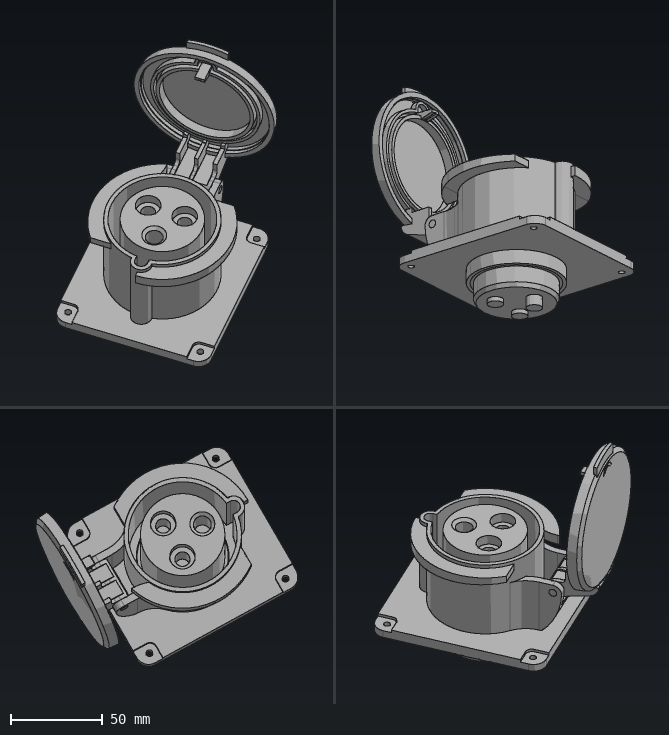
import cadquery as cq
import math


TINY = 0.2

PLATE_X = 90.0
PLATE_Y = 99.9
PLATE_T = 6.3
PLATE_CORNER_R = 7.5
SCREW_X = 38.7
SCREW_Y = 42.5
SCREW_R = 1.8
PAD_X = 11.5
PAD_Y = 12.3
PAD_CORNER_R = 3.8
PAD_DEPTH = 1.7

WALL = 2.4
BARREL_R = 32.0
BORE_R = BARREL_R - WALL
RIM_Z = 53.2
FLOOR_Z = 2.4
KEY_Y = -31.9
KEY_R = 6.0
KEY_SLOT_R = KEY_R - WALL
COLLAR_R = 27.4
COLLAR_DEPTH = 8.1
SEAT_R = 25.3

LEDGE_R = 40.8
LEDGE_TOP = 51.0
LEDGE_THICK = 6.2
LEDGE_THIN = 4.2
LEDGE_END_Y = 24.7

PIN_Y = 45.5
PIN_Z = 33.8
PIN_R = 2.3
KNUCKLE_R = 5.1
KNUCKLE_TOP = PIN_Z + KNUCKLE_R
ARM_HALF = 12.2
EAR_T = 4.0
EAR_HALF = ARM_HALF + EAR_T
FLARE_Y = 37.5
FOOT_Y = 39.0
BELLY_Y = 48.1
BELLY_Z = 20.6
BACK_WALL_TOP = 24.0

INSERT_R = 23.0
FLANGE_CHAMFER = 0.5
TAIL_R = 23.5
TAIL_BOTTOM = -20.0
TAIL_CHAMFER_R = 1.4
TAIL_CHAMFER_Z = 2.5
CONTACT_CIRCLE_R = 12.3
STUB_R = 4.5
LINE_STUB_BOTTOM = -22.5
EARTH_STUB_BOTTOM = -26.2
LINE_ENTRY_R = 6.9
LINE_ENTRY_DEPTH = 5.9
LINE_HOLE_R = 4.0
EARTH_ENTRY_R = 6.8
EARTH_ENTRY_DEPTH = 1.7
EARTH_HOLE_R = 4.8
HOLE_DEPTH = 22.5
LINE_ANGLES = (30, 150)
EARTH_ANGLE = 270

LID_Z = 79.1
LID_R = 41.0
LID_BACK_R = 40.5
DOME_R = 37.9
CAVITY_R = 37.6
CAVITY_MOUTH_R = 38.0
CAVITY_MOUTH_DEPTH = 2.3
LID_FRONT = 63.0
LID_BAND_BACK = 68.7
DOME_EDGE = 70.7
DOME_APEX = 74.0
CAVITY_EDGE = 67.7
CAVITY_APEX = 71.3
OUTER_RIDGE_FRONT = 65.0
OUTER_RIDGE_R = 32.0
OUTER_RIDGE_BORE_R = 30.2
LID_KEY_OFFSET = 31.6
LID_KEY_R = 6.3
LID_KEY_BORE_R = 4.5
INNER_RIDGE_FRONT = 64.0
INNER_RIDGE_R = 28.6
INNER_RIDGE_BORE_R = 26.5
TAB_R = 45.1
TAB_FRONT = 67.8
TAB_BACK = 70.0
HOOK_HALF = 2.9
HOOK_TOP = 109.8
HOOK_ROOT_BOTTOM = 105.9
HOOK_TIP_BOTTOM = 107.8
HOOK_TIP = 56.4
HOOK_SLOT = 1.2
HOOK_SLOT_TOP = 108.3

ARM_TOP = 46.8
ARM_FRONT = 51.3
ARM_STEP_R = 2.7
ARM_WEB_TOP = 37.9
ARM_HEEL_Y = 65.9
ARM_HEEL_Z = 34.3
ARM_BACK_Y = 70.7
ARM_BACK_Z = 40.6
SIDE_RIB_T = 2.5
MID_RIB_T = 2.3


def cylinder(radius, z0, z1, x=0, y=0):
    return cq.Workplane("XY", origin=(x, y, z0)).circle(radius).extrude(z1 - z0)


def box(x0, x1, y0, y1, z0, z1):
    return cq.Workplane("XY").box(x1 - x0, y1 - y0, z1 - z0, centered=False).translate((x0, y0, z0))


def lid_disc(radius, front, back, z=0):
    """Cylinder along Y, placed z above the lid axis."""
    return cq.Workplane("XZ", origin=(0, front, LID_Z + z)).circle(radius).extrude(front - back)


def polar(radius, degrees):
    angle = math.radians(degrees)
    return radius * math.cos(angle), radius * math.sin(angle)


def mounting_plate():
    plate = box(-PLATE_X / 2, PLATE_X / 2, -PLATE_Y / 2, PLATE_Y / 2, 0, PLATE_T)
    plate = plate.edges("|Z").fillet(PLATE_CORNER_R)
    for sx in (-1, 1):
        for sy in (-1, 1):
            pad = cq.Workplane("XY", origin=(sx * PLATE_X / 2, sy * PLATE_Y / 2, PLATE_T - PAD_DEPTH))
            pad = pad.rect(2 * PAD_X, 2 * PAD_Y).extrude(PLATE_T).edges("|Z").fillet(PAD_CORNER_R)
            plate = plate.cut(pad)
            plate = plate.cut(cylinder(SCREW_R, 0, PLATE_T, sx * SCREW_X, sy * SCREW_Y))
    return plate


def keyed_column(radius, key_radius, z0, z1):
    """Round column with a round-ended key on its -Y side."""
    column = cylinder(radius, z0, z1).union(cylinder(key_radius, z0, z1, 0, KEY_Y))
    return column.union(box(-key_radius, key_radius, KEY_Y, 0, z0, z1))


def bayonet_ledge():
    """Half-round ledge on the +X side whose underside rises toward its +Y end."""
    thick_z = LEDGE_TOP - LEDGE_THICK
    side = [
        (-LEDGE_R, LEDGE_TOP),
        (LEDGE_END_Y, LEDGE_TOP),
        (LEDGE_END_Y, LEDGE_TOP - LEDGE_THIN),
        (-LEDGE_END_Y, thick_z),
        (-LEDGE_R, thick_z),
    ]
    return cq.Workplane("YZ").polyline(side).close().extrude(LEDGE_R).intersect(
        cylinder(LEDGE_R, thick_z, LEDGE_TOP)
    )


FLARE_R = (EAR_HALF**2 + FLARE_Y**2 - BARREL_R**2) / (2 * (BARREL_R - EAR_HALF))


def flared_plan(half_width, flare_radius, z0, z1):
    """Strip along +Y that widens by circular flares as it nears the barrel."""
    flare_x = half_width + flare_radius
    end_x = flare_x * BARREL_R / (BARREL_R + FLARE_R)
    end_y = FLARE_Y - math.sqrt(flare_radius**2 - (flare_x - end_x) ** 2)
    mid_angle = math.atan2(FLARE_Y - end_y, flare_x - end_x) / 2
    mid_x = flare_x - flare_radius * math.cos(mid_angle)
    mid_y = FLARE_Y - flare_radius * math.sin(mid_angle)
    far_y = PIN_Y + 2 * KNUCKLE_R
    return (
        cq.Workplane("XY", origin=(0, 0, z0))
        .moveTo(end_x, end_y)
        .threePointArc((mid_x, mid_y), (half_width, FLARE_Y))
        .lineTo(half_width, far_y)
        .lineTo(-half_width, far_y)
        .lineTo(-half_width, FLARE_Y)
        .threePointArc((-mid_x, mid_y), (-end_x, end_y))
        .lineTo(0, 0)
        .close()
        .extrude(z1 - z0)
    )


def ear_side_profile(inset, half_width):
    """Side shape of the hinge housing, its rounded back moved inward by the inset."""
    nose_y = PIN_Y + KNUCKLE_R - inset
    nose_mid = polar(KNUCKLE_R, 45)
    return (
        cq.Workplane("YZ", origin=(-half_width, 0, 0))
        .moveTo(0, PLATE_T - TINY)
        .lineTo(FOOT_Y - inset, PLATE_T - TINY)
        .threePointArc((BELLY_Y - inset, BELLY_Z), (nose_y, PIN_Z))
        .threePointArc((PIN_Y + nose_mid[0] - inset, PIN_Z + nose_mid[1]), (PIN_Y - inset, KNUCKLE_TOP))
        .lineTo(0, KNUCKLE_TOP)
        .close()
        .extrude(2 * half_width)
    )


def hinge_slot():
    """Space between the ears, open above the low back wall."""
    slot = flared_plan(ARM_HALF, FLARE_R + EAR_T, PLATE_T, RIM_Z)
    wide = 2 * EAR_HALF
    back_wall = ear_side_profile(0, wide).cut(ear_side_profile(WALL, wide))
    back_wall = back_wall.intersect(box(-wide, wide, 0, PLATE_Y, 0, BACK_WALL_TOP))
    return slot.cut(back_wall)


def make_housing():
    ears = flared_plan(EAR_HALF, FLARE_R, PLATE_T - TINY, KNUCKLE_TOP)
    ears = ears.intersect(ear_side_profile(0, 2 * EAR_HALF))
    ledge = bayonet_ledge()
    outer = ears.union(ledge).union(ledge.rotate((0, 0, 0), (0, 0, 1), 180)).cut(hinge_slot())
    outer = outer.union(mounting_plate())
    outer = outer.union(keyed_column(BARREL_R, KEY_R, PLATE_T - TINY, RIM_Z))
    outer = outer.union(cylinder(COLLAR_R, -COLLAR_DEPTH, PLATE_T))
    outer = outer.cut(keyed_column(BORE_R, KEY_SLOT_R, FLOOR_Z, RIM_Z))
    return outer.cut(cylinder(SEAT_R, -COLLAR_DEPTH, FLOOR_Z)).cut(make_pin())


def make_insert():
    flange = cylinder(SEAT_R, -COLLAR_DEPTH, FLOOR_Z).faces(">Z").chamfer(FLANGE_CHAMFER)
    tail = cylinder(TAIL_R, TAIL_BOTTOM, -COLLAR_DEPTH)
    tail = tail.faces("<Z").edges().chamfer(TAIL_CHAMFER_Z, TAIL_CHAMFER_R)
    body = cylinder(INSERT_R, FLOOR_Z, RIM_Z).union(flange).union(tail)

    for angle in LINE_ANGLES:
        x, y = polar(CONTACT_CIRCLE_R, angle)
        body = body.union(cylinder(STUB_R, LINE_STUB_BOTTOM, TAIL_BOTTOM, x, y))
        body = body.cut(cylinder(LINE_ENTRY_R, RIM_Z - LINE_ENTRY_DEPTH, RIM_Z, x, y))
        body = body.cut(cylinder(LINE_HOLE_R, RIM_Z - HOLE_DEPTH, RIM_Z, x, y))

    x, y = polar(CONTACT_CIRCLE_R, EARTH_ANGLE)
    body = body.union(cylinder(STUB_R, EARTH_STUB_BOTTOM, TAIL_BOTTOM, x, y))
    body = body.cut(cylinder(EARTH_HOLE_R, RIM_Z - HOLE_DEPTH, RIM_Z, x, y))
    entry = cq.Solid.makeCone(
        EARTH_HOLE_R, EARTH_ENTRY_R, EARTH_ENTRY_DEPTH, cq.Vector(x, y, RIM_Z - EARTH_ENTRY_DEPTH)
    )
    return body.cut(cq.Workplane(entry))


def make_pin():
    return cq.Workplane("YZ", origin=(-EAR_HALF, PIN_Y, PIN_Z)).circle(PIN_R).extrude(2 * EAR_HALF)


def arc_middle(apex, edge_radius, edge):
    """Point halfway along a shallow arc from its apex on the lid axis to its edge."""
    sphere_r = (edge_radius**2 + (apex - edge) ** 2) / (2 * (apex - edge))
    half_angle = math.asin(edge_radius / sphere_r) / 2
    return sphere_r * math.sin(half_angle), apex - sphere_r * (1 - math.cos(half_angle))


def spun_about_lid_axis(profile):
    return profile.close().revolve(360, (0, 0), (0, 1)).translate((0, 0, LID_Z))


def lid_outside():
    return spun_about_lid_axis(
        cq.Workplane("XY")
        .moveTo(0, LID_FRONT)
        .lineTo(LID_R, LID_FRONT)
        .lineTo(LID_BACK_R, LID_BAND_BACK)
        .lineTo(DOME_R, DOME_EDGE)
        .threePointArc(arc_middle(DOME_APEX, DOME_R, DOME_EDGE), (0, DOME_APEX))
    )


def lid_cavity():
    """Inside of the lid: a slightly wider mouth and a domed back."""
    mouth_back = LID_FRONT + CAVITY_MOUTH_DEPTH
    return spun_about_lid_axis(
        cq.Workplane("XY")
        .moveTo(0, LID_FRONT)
        .lineTo(CAVITY_MOUTH_R, LID_FRONT)
        .lineTo(CAVITY_MOUTH_R, mouth_back)
        .lineTo(CAVITY_R, mouth_back)
        .lineTo(CAVITY_R, CAVITY_EDGE)
        .threePointArc(arc_middle(CAVITY_APEX, CAVITY_R, CAVITY_EDGE), (0, CAVITY_APEX))
    )


def lid_keyed_disc(radius, key_radius):
    disc = lid_disc(radius, OUTER_RIDGE_FRONT, CAVITY_APEX)
    disc = disc.union(lid_disc(key_radius, OUTER_RIDGE_FRONT, CAVITY_APEX, LID_KEY_OFFSET))
    key_top = LID_Z + LID_KEY_OFFSET
    return disc.union(box(-key_radius, key_radius, OUTER_RIDGE_FRONT, CAVITY_APEX, LID_Z, key_top))


def lid_ridges():
    """Keyed outer ridge that meets the barrel rim, and a plain ridge inside it."""
    outer = lid_keyed_disc(OUTER_RIDGE_R, LID_KEY_R)
    outer = outer.cut(lid_keyed_disc(OUTER_RIDGE_BORE_R, LID_KEY_BORE_R))
    inner = lid_disc(INNER_RIDGE_R, INNER_RIDGE_FRONT, CAVITY_APEX)
    return outer.union(inner.cut(lid_disc(INNER_RIDGE_BORE_R, INNER_RIDGE_FRONT, CAVITY_APEX)))


def lid_tab():
    tab = lid_disc(TAB_R, TAB_FRONT, TAB_BACK)
    above_dome = box(-ARM_HALF, ARM_HALF, TAB_FRONT, TAB_BACK, LID_Z + DOME_R - 1.5, LID_Z + TAB_R)
    return tab.intersect(above_dome)


def latch_hook():
    side = [
        (CAVITY_EDGE, HOOK_TOP),
        (HOOK_TIP, HOOK_TOP),
        (HOOK_TIP, HOOK_TIP_BOTTOM),
        (LID_FRONT, HOOK_ROOT_BOTTOM),
        (CAVITY_EDGE, HOOK_ROOT_BOTTOM),
    ]
    hook = cq.Workplane("YZ", origin=(-HOOK_HALF, 0, 0)).polyline(side).close().extrude(2 * HOOK_HALF)
    slot_half = HOOK_SLOT / 2
    return hook.cut(box(-slot_half, slot_half, HOOK_TIP, LID_FRONT, HOOK_ROOT_BOTTOM, HOOK_SLOT_TOP))


def arm_plate(x0, x1):
    """Slice of the hinge arm between two X positions, with its rounded heel and knuckle."""
    slope = math.atan2(ARM_HEEL_Z - PIN_Z, ARM_HEEL_Y - PIN_Y)
    reach = math.hypot(ARM_HEEL_Z - PIN_Z, ARM_HEEL_Y - PIN_Y)
    leave = math.degrees(slope - math.acos(KNUCKLE_R / reach))
    under = polar(KNUCKLE_R, leave)
    step_mid = polar(ARM_STEP_R, -45)
    return (
        cq.Workplane("YZ", origin=(x0, 0, 0))
        .moveTo(CAVITY_EDGE, ARM_TOP)
        .lineTo(ARM_FRONT, ARM_TOP)
        .lineTo(ARM_FRONT, KNUCKLE_TOP + ARM_STEP_R)
        .threePointArc(
            (ARM_FRONT - ARM_STEP_R + step_mid[0], KNUCKLE_TOP + ARM_STEP_R + step_mid[1]),
            (ARM_FRONT - ARM_STEP_R, KNUCKLE_TOP),
        )
        .lineTo(PIN_Y, KNUCKLE_TOP)
        .threePointArc((PIN_Y - KNUCKLE_R, PIN_Z), (PIN_Y + under[0], PIN_Z + under[1]))
        .lineTo(ARM_HEEL_Y, ARM_HEEL_Z)
        .tangentArcPoint((ARM_BACK_Y, ARM_BACK_Z), relative=False)
        .lineTo(CAVITY_EDGE, ARM_BACK_Z)
        .close()
        .extrude(x1 - x0)
    )


def arm_rib(x0, thickness):
    """Upright rib of the arm, rising inside the lid until it meets the outer ridge."""
    pillar = box(x0, x0 + thickness, LID_FRONT, CAVITY_EDGE, ARM_TOP - TINY, LID_Z)
    pillar = pillar.cut(lid_disc(OUTER_RIDGE_R - TINY, LID_FRONT, CAVITY_EDGE))
    return arm_plate(x0, x0 + thickness).union(pillar)


def hinge_arm():
    web = arm_plate(-ARM_HALF, ARM_HALF)
    arm = web.intersect(box(-ARM_HALF, ARM_HALF, 0, ARM_BACK_Y, 0, ARM_WEB_TOP))
    arm = arm.union(arm_rib(-ARM_HALF, SIDE_RIB_T))
    arm = arm.union(arm_rib(-MID_RIB_T / 2, MID_RIB_T))
    return arm.union(arm_rib(ARM_HALF - SIDE_RIB_T, SIDE_RIB_T))


def make_lid():
    lid = lid_outside().cut(lid_cavity())
    lid = lid.union(lid_ridges()).union(lid_tab()).union(latch_hook())
    return lid.union(hinge_arm()).cut(make_pin())


housing = make_housing()
insert = make_insert()
pin = make_pin()
lid = make_lid()

result = cq.Compound.makeCompound([housing.val(), insert.val(), pin.val(), lid.val()])